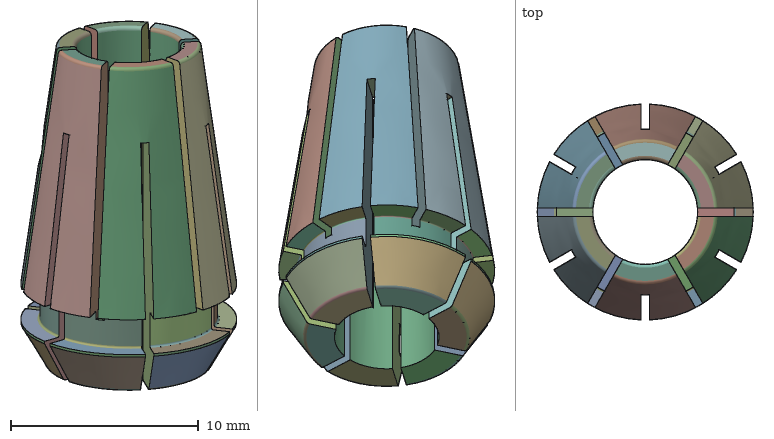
import cadquery as cq
import math

height = 18.0
outer_diameter = 11.5
outer_radius = outer_diameter / 2
bore_diameter = 5.56
bore_radius = bore_diameter / 2

taper_bottom = 4.48
taper_angle = 8.0

neck_radius = 4.73
neck_foot_fillet = 0.1
neck_head_fillet = 0.05

collar_top = 2.52
rim_height = 0.15
collar_angle = 30.0

end_fillet = 0.2

slots_per_set = 6
slot_width = 0.45
slot_end_wall = 4.03

taper_top_radius = outer_radius - (height - taper_bottom) * math.tan(math.radians(taper_angle))
rim_bottom = collar_top - rim_height
collar_bottom_radius = outer_radius - rim_bottom * math.tan(math.radians(collar_angle))
slot_pitch = 360 / slots_per_set


def collet_body():
    """Bored ring revolved about Z, with rounded end edges."""
    body = (
        cq.Workplane("XZ")
        .moveTo(bore_radius, 0)
        .lineTo(collar_bottom_radius, 0)
        .lineTo(outer_radius, rim_bottom)
        .lineTo(outer_radius, collar_top)
        .lineTo(neck_radius + neck_foot_fillet, collar_top)
        .radiusArc((neck_radius, collar_top + neck_foot_fillet), neck_foot_fillet)
        .lineTo(neck_radius, taper_bottom - neck_head_fillet)
        .radiusArc((neck_radius + neck_head_fillet, taper_bottom), neck_head_fillet)
        .lineTo(outer_radius, taper_bottom)
        .lineTo(taper_top_radius, height)
        .lineTo(bore_radius, height)
        .close()
        .revolve(360, (0, 0, 0), (0, 1, 0))
    )
    body = body.faces(">Z").edges().fillet(end_fillet)
    return body.faces("<Z").edges(cq.selectors.RadiusNthSelector(-1)).fillet(end_fillet)


def cut_radial_slots(body, bottom, top, first_angle):
    """Cut evenly spaced slots that run from the axis outwards."""
    slot = (
        cq.Workplane("XY", origin=(0, 0, bottom))
        .center(outer_radius, 0)
        .rect(2 * outer_radius, slot_width)
        .extrude(top - bottom)
    )
    for index in range(slots_per_set):
        body = body.cut(slot.rotate((0, 0, 0), (0, 0, 1), first_angle + index * slot_pitch))
    return body


result = collet_body()
result = cut_radial_slots(result, slot_end_wall, height, 0)
result = cut_radial_slots(result, 0, height - slot_end_wall, slot_pitch / 2)